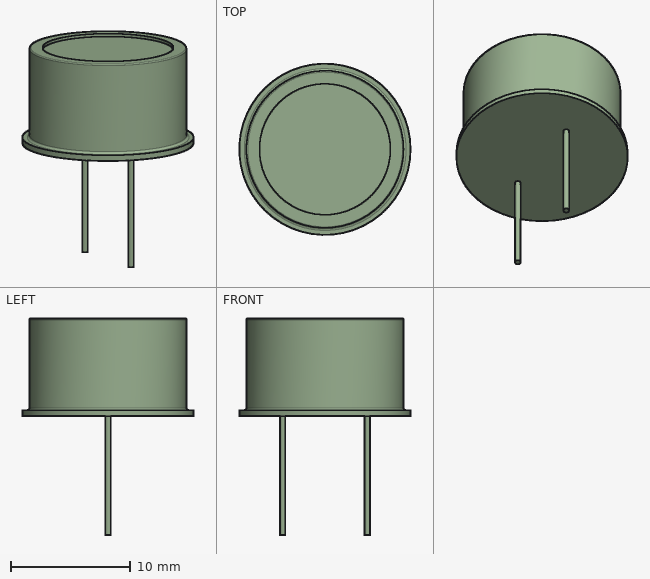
import cadquery as cq

can_diameter = 13.2
can_height = 8.2
top_edge_radius = 0.1

flange_diameter = 14.4
flange_thickness = 0.5
base_fillet_radius = 0.2

window_diameter = 11.0
window_depth = 0.25

lead_diameter = 0.48
lead_length = 10.0
lead_spacing = 7.1


def make_housing():
    """Flange and can, with the base fillet and the rounded top edge."""
    can = cq.Workplane("XY").circle(can_diameter / 2).extrude(can_height)
    flange = cq.Workplane("XY").circle(flange_diameter / 2).extrude(flange_thickness)
    housing = can.union(flange)
    housing = housing.faces(">Z").edges().fillet(top_edge_radius)
    flange_top = housing.faces("+Z").faces("<Z")
    can_foot = flange_top.edges(cq.selectors.RadiusNthSelector(0))
    return can_foot.fillet(base_fillet_radius)


def cut_window(housing):
    """Sink the round recess into the top face."""
    return housing.faces(">Z").workplane().circle(window_diameter / 2).cutBlind(-window_depth)


def make_leads():
    """Pair of straight round leads below the flange."""
    lead_positions = [(-lead_spacing / 2, 0), (lead_spacing / 2, 0)]
    return cq.Workplane("XY").pushPoints(lead_positions).circle(lead_diameter / 2).extrude(-lead_length)


result = cut_window(make_housing()).union(make_leads())